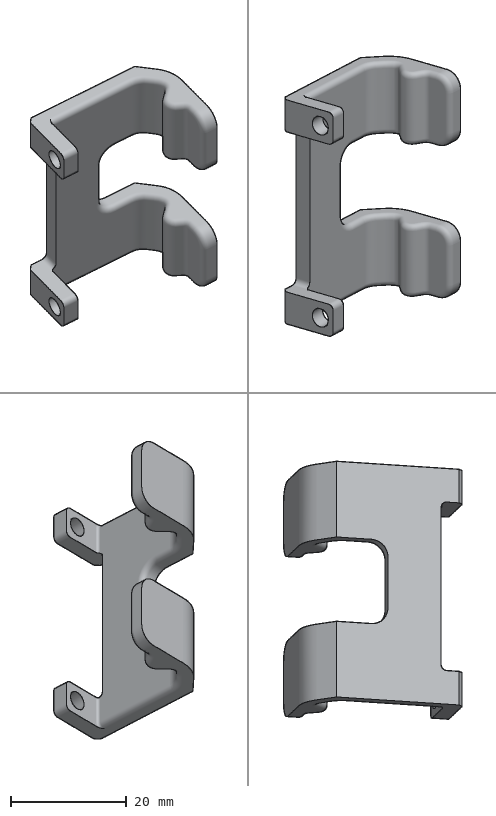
import cadquery as cq
import math

width = 18.0
depth = 27.4
height = 42.0
mid_height = height / 2

thickness = 3.0
bend_setback = 4.75
bend_outer_radius = 6.65
bend_inner_radius = bend_outer_radius - thickness
wall_bend_radius = 3.15

arm_length = 11.0
arm_height = 6.0
arm_corner_radius = 1.0
arm_root_radius = 0.5
arm_hole_diameter = 3.4
arm_hole_x = 8.25
foot_chamfer = 0.8
foot_radius = 0.85

arm_gap_depth = 4.0
arm_gap_radius = 1.0

flange_gap_height = 15.0
flange_gap_start_y = 13.5
flange_corner_radius = 3.0

bump_x = 10.3
bump_projection = 2.7
bump_radius = 2.0
bump_left_angle = 45.0
bump_right_angle = 60.0
bump_root_radius = 1.0

inner_edge_radius = 1.0

flange_inner_y = depth - thickness
bend_outer_y = depth - bend_setback
inner_bend_offset = bend_outer_y - thickness * math.sqrt(2)
wall_bend_y = thickness + inner_bend_offset
flange_bend_x = flange_inner_y - inner_bend_offset
wall_edge_axis_x = thickness - inner_edge_radius
root_end = thickness + arm_root_radius
arm_mid_heights = (arm_height / 2, height - arm_height / 2)


def round_upright(body, corner, radius):
    """Round the upright edge nearest to an (x, y) corner."""
    point = (corner[0], corner[1], mid_height)
    return body.edges("|Z").edges(cq.selectors.NearestToPointSelector(point)).fillet(radius)


def sheet_body():
    outline = [
        (foot_chamfer, 0),
        (arm_length, 0),
        (arm_length, thickness),
        (thickness, thickness),
        (thickness, wall_bend_y),
        (flange_bend_x, flange_inner_y),
        (width, flange_inner_y),
        (width, depth),
        (bend_setback, depth),
        (0, bend_outer_y),
        (0, foot_chamfer),
    ]
    body = cq.Workplane("XY").polyline(outline).close().extrude(height)
    body = round_upright(body, (foot_chamfer, 0), foot_radius)
    body = round_upright(body, (thickness, wall_bend_y), wall_bend_radius)
    body = round_upright(body, (flange_bend_x, flange_inner_y), bend_inner_radius)
    return round_upright(body, (bend_setback, depth), bend_outer_radius)


def bump_flank(side, angle):
    """Tangent point of a flank on the bump nose, and the flank's root inside the flange."""
    slope = math.radians(angle)
    nose_y = flange_inner_y - bump_projection + bump_radius
    tangent_x = bump_x + side * bump_radius * math.sin(slope)
    tangent_y = nose_y - bump_radius * math.cos(slope)
    rise = flange_inner_y + thickness / 2 - tangent_y
    root = (tangent_x + side * rise / math.tan(slope), tangent_y + rise)
    return (tangent_x, tangent_y), root


def add_bump(body):
    left_tangent, left_root = bump_flank(-1, bump_left_angle)
    right_tangent, right_root = bump_flank(1, bump_right_angle)
    tip = (bump_x, flange_inner_y - bump_projection)
    bump = (
        cq.Workplane("XY")
        .moveTo(*left_root)
        .lineTo(*left_tangent)
        .threePointArc(tip, right_tangent)
        .lineTo(*right_root)
        .close()
        .extrude(height)
    )
    body = body.union(bump)
    for tangent, root in ((left_tangent, left_root), (right_tangent, right_root)):
        share = (flange_inner_y - tangent[1]) / (root[1] - tangent[1])
        corner_x = tangent[0] + share * (root[0] - tangent[0])
        body = round_upright(body, (corner_x, flange_inner_y), bump_root_radius)
    return body


def side_cutter(start_y, end_y, cut_height, radius, rounded_side):
    """Mid-height opening through the full width, with its blind corners rounded."""
    return (
        cq.Workplane("XY")
        .box(3 * width, end_y - start_y, cut_height)
        .faces(rounded_side)
        .edges("|X")
        .fillet(radius)
        .translate((0, (start_y + end_y) / 2, mid_height))
    )


def cut_flange_gap(body):
    cutter = side_cutter(
        flange_gap_start_y, 2 * depth, flange_gap_height, flange_corner_radius, "<Y"
    )
    return body.cut(cutter)


def cut_arm_gap(body):
    cutter = side_cutter(-depth, arm_gap_depth, height - 2 * arm_height, arm_gap_radius, ">Y")
    return body.cut(cutter)


def round_flange_ends(body):
    return body.faces(">X").edges("|Y").fillet(flange_corner_radius)


def round_arm_ends(body):
    margin = 0.4
    arm_end = cq.selectors.BoxSelector(
        (arm_length - margin, -margin, -margin),
        (arm_length + margin, thickness + margin, height + margin),
    )
    return body.edges("|Y").edges(arm_end).fillet(arm_corner_radius)


def round_inner_edge(body):
    """The inner rim is one smooth chain, so rounding its end-face edge rounds all of it."""
    rim_point = (width, flange_inner_y, height - arm_height)
    return body.edges(cq.selectors.NearestToPointSelector(rim_point)).fillet(inner_edge_radius)


def arm_root_profile():
    """Concave fillet between wall and arm, filled back to the axis of the wall's rounded edge."""
    arc_middle = root_end - arm_root_radius * math.sqrt(0.5)
    return (
        cq.Workplane("XY", origin=(0, 0, inner_edge_radius))
        .moveTo(wall_edge_axis_x, thickness)
        .lineTo(root_end, thickness)
        .threePointArc((arc_middle, arc_middle), (thickness, root_end))
        .lineTo(wall_edge_axis_x, root_end)
        .close()
    )


def add_arm_root(body):
    """Fillet the corner of wall and arms, turning it over the wall's rounded edges."""
    straight = arm_root_profile().extrude(height - 2 * inner_edge_radius)
    axis_start = (wall_edge_axis_x, thickness)
    axis_end = (wall_edge_axis_x, root_end)
    lower_turn = arm_root_profile().revolve(90, axis_start, axis_end)
    upper_turn = lower_turn.mirror("XY", (0, 0, mid_height))
    envelope = cq.Workplane("XY").rect(2 * width, 2 * depth).extrude(height)
    root = straight.union(lower_turn).union(upper_turn).intersect(envelope)
    return body.union(root)


def drill_arms(body):
    for z in arm_mid_heights:
        drill = (
            cq.Workplane("XZ", origin=(arm_hole_x, 0, z))
            .circle(arm_hole_diameter / 2)
            .extrude(-2 * thickness)
        )
        body = body.cut(drill)
    return body


bracket = add_bump(sheet_body())
bracket = round_flange_ends(cut_flange_gap(bracket))
bracket = add_arm_root(round_inner_edge(bracket))
bracket = round_arm_ends(cut_arm_gap(bracket))
result = drill_arms(bracket)